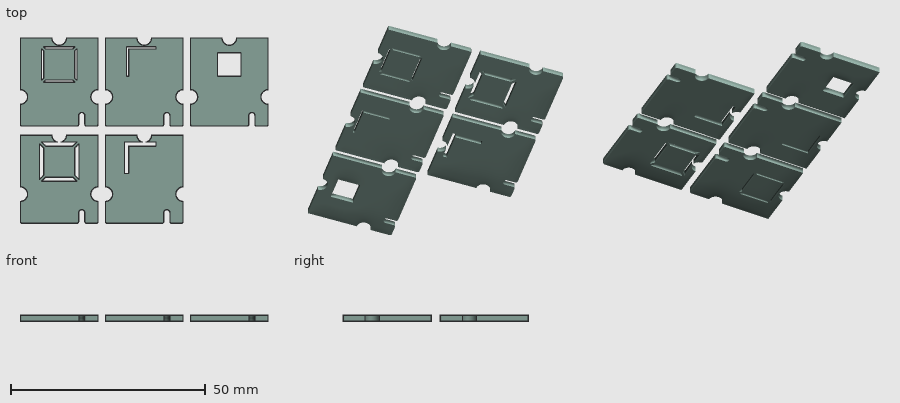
import cadquery as cq

PLATE_WIDTH = 20.0
PLATE_HEIGHT = 22.7
THICKNESS = 1.6
CORNER_RADIUS = 0.5

NOTCH_RADIUS = 1.85
SIDE_NOTCH_Y = 7.5

SLOT_WIDTH = 1.5
SLOT_DEPTH = 3.5
SLOT_X = 15.8

TARGET_X = PLATE_WIDTH / 2
TARGET_DROP = 6.8
TARGET_Y = PLATE_HEIGHT - TARGET_DROP
ISLAND_HALF = 4.0
WINDOW_SIZE = 6.0
THIN_GAP = 0.5
WIDE_GAP = 1.0
ARM_END = 3.0
WEB_OFFSET = 0.5

LAYOUT_WIDTH = 63.7
LAYOUT_HEIGHT = 47.65
COLUMNS = 3
ROWS = 2
PITCH_X = (LAYOUT_WIDTH - PLATE_WIDTH) / (COLUMNS - 1)
PITCH_Y = (LAYOUT_HEIGHT - PLATE_HEIGHT) / (ROWS - 1)


def through_cut(sketch):
    """Turn a closed sketch into a cutter as thick as the plate."""
    return sketch.extrude(THICKNESS)


def edge_slot():
    """Round-ended slot that runs up from the bottom edge."""
    straight = SLOT_DEPTH - SLOT_WIDTH / 2
    half = SLOT_WIDTH / 2
    sketch = (
        cq.Workplane("XY")
        .moveTo(SLOT_X - half, 0)
        .lineTo(SLOT_X - half, straight)
        .threePointArc((SLOT_X, SLOT_DEPTH), (SLOT_X + half, straight))
        .lineTo(SLOT_X + half, 0)
        .close()
    )
    return through_cut(sketch)


def plate():
    """Card blank with its slot, rounded bottom corners and edge notches."""
    blank = cq.Workplane("XY").box(PLATE_WIDTH, PLATE_HEIGHT, THICKNESS, centered=False)
    blank = blank.cut(edge_slot())
    blank = blank.faces("<Y").edges("|Z").fillet(CORNER_RADIUS)
    notch_centres = [
        (0, SIDE_NOTCH_Y),
        (PLATE_WIDTH, SIDE_NOTCH_Y),
        (PLATE_WIDTH / 2, PLATE_HEIGHT),
    ]
    notches = cq.Workplane("XY").pushPoints(notch_centres).circle(NOTCH_RADIUS)
    return blank.cut(through_cut(notches))


def frame_cut(gap):
    """Four mitred gaps around a square island held by diagonal webs."""
    outer = ISLAND_HALF + gap
    inner_end = ISLAND_HALF - WEB_OFFSET
    outer_end = outer - WEB_OFFSET
    side = through_cut(
        cq.Workplane("XY").polyline([
            (-inner_end, ISLAND_HALF),
            (inner_end, ISLAND_HALF),
            (outer_end, outer),
            (-outer_end, outer),
        ]).close()
    )
    cutter = cq.Workplane("XY")
    for quarter in range(4):
        cutter = cutter.add(side.rotate((0, 0, 0), (0, 0, 1), 90 * quarter))
    return cutter.combine()


def corner_cut(gap):
    """L-shaped gap along the top and left of the target."""
    outer = ISLAND_HALF + gap
    return through_cut(
        cq.Workplane("XY").polyline([
            (-outer, outer),
            (ARM_END, outer),
            (ARM_END, ISLAND_HALF),
            (-ISLAND_HALF, ISLAND_HALF),
            (-ISLAND_HALF, -ARM_END),
            (-outer, -ARM_END),
        ]).close()
    )


def window_cut():
    """Square window at the target."""
    return through_cut(cq.Workplane("XY").rect(WINDOW_SIZE, WINDOW_SIZE))


def card(target_cut, column, row):
    """One card with its target pattern, moved to its place in the layout."""
    body = plate().cut(target_cut.translate((TARGET_X, TARGET_Y, 0)))
    return body.translate((column * PITCH_X, row * PITCH_Y, 0))


wide_frame_card = card(frame_cut(WIDE_GAP), 0, 0)
wide_corner_card = card(corner_cut(WIDE_GAP), 1, 0)
thin_frame_card = card(frame_cut(THIN_GAP), 0, 1)
thin_corner_card = card(corner_cut(THIN_GAP), 1, 1)
window_card = card(window_cut(), 2, 1)

result = cq.Compound.makeCompound([
    wide_frame_card.val(),
    wide_corner_card.val(),
    thin_frame_card.val(),
    thin_corner_card.val(),
    window_card.val(),
])